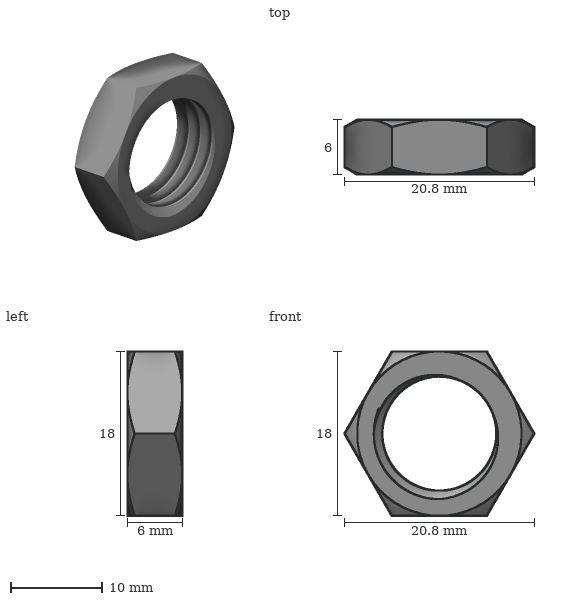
import cadquery as cq
import math

corner_diameter = 20.78
thickness = 6.0
corner_radius = corner_diameter / 2
flat_radius = corner_radius * math.cos(math.radians(30))
chamfer_angle = 30.0

bore_radius = 6.23
thread_pitch = 1.75
crest_width = thread_pitch / 8
root_width = thread_pitch / 4
flank_slope = math.tan(math.radians(30))
thread_depth = (thread_pitch - crest_width - root_width) / (2 * flank_slope)
root_angle_at_front = 225.0
cutter_overlap = 0.06


def chamfered_hexagon():
    """Hexagonal prism standing on Z, with its corners turned off at both ends."""
    prism = cq.Workplane("XY").polygon(6, corner_diameter).extrude(thickness / 2, both=True)
    half = thickness / 2
    corner_drop = (corner_radius - flat_radius) * math.tan(math.radians(chamfer_angle))
    turned_envelope = (
        cq.Workplane("XZ")
        .moveTo(0, -half)
        .lineTo(flat_radius, -half)
        .lineTo(corner_radius, corner_drop - half)
        .lineTo(corner_radius, half - corner_drop)
        .lineTo(flat_radius, half)
        .lineTo(0, half)
        .close()
        .revolve(360, (0, 0, 0), (0, 1, 0))
    )
    return prism.intersect(turned_envelope)


def thread_groove():
    """Helical groove cutter about Z that runs past both end faces."""
    root_radius = bore_radius + thread_depth
    inner_radius = bore_radius - cutter_overlap
    half_root = root_width / 2
    half_mouth = half_root + (root_radius - inner_radius) * flank_slope

    turns_below_front = math.ceil(thickness / thread_pitch) + 1
    turn_count = turns_below_front + 2
    start_z = thickness / 2 - thread_pitch * (turns_below_front + root_angle_at_front / 360)

    path = cq.Wire.makeHelix(thread_pitch, turn_count * thread_pitch, bore_radius)
    groove = (
        cq.Workplane("XZ")
        .moveTo(inner_radius, -half_mouth)
        .lineTo(root_radius, -half_root)
        .lineTo(root_radius, half_root)
        .lineTo(inner_radius, half_mouth)
        .close()
        .sweep(cq.Workplane(path), isFrenet=True)
    )
    return groove.translate((0, 0, start_z))


bore = cq.Workplane("XY").circle(bore_radius).extrude(thickness, both=True)

groove_limits = cq.Workplane("XY").circle(flat_radius).extrude(thickness / 2, both=True)
groove_in_wall = thread_groove().intersect(groove_limits).cut(bore)
nut = chamfered_hexagon().cut(bore).cut(groove_in_wall)

result = nut.rotate((0, 0, 0), (1, 0, 0), 90)